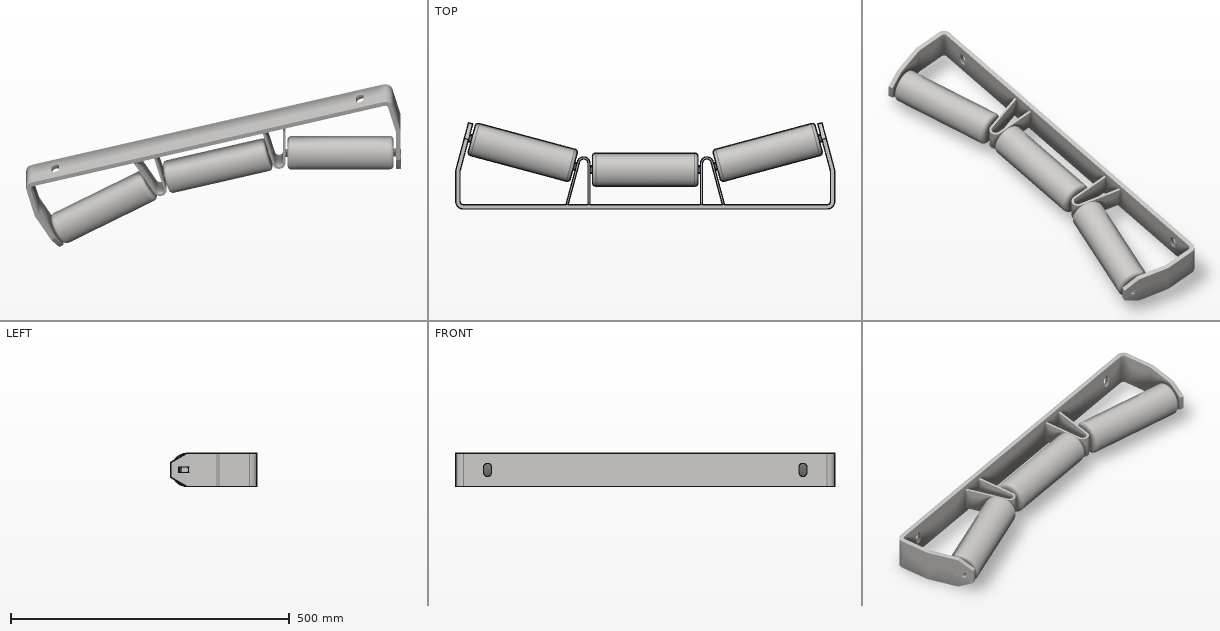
import cadquery as cq
import math

FRAME_LENGTH = 680.0
FRAME_DEPTH = 155.0
STRIP_WIDTH = 60.0
STRIP_THICK = 8.0
BEND_RADIUS = 13.5
ARM_BEND_Y = 68.0
TILT = 15.0
ARM_TIP_WIDTH = 27.0
ARM_TAPER_LENGTH = 29.0

MOUNT_SLOT_X = 283.0
MOUNT_SLOT_WIDTH = 14.0
MOUNT_SLOT_HEIGHT = 24.0

ROLLER_DIA = 60.0
ROLLER_LENGTH = 190.0
ROLLER_FILLET = 6.0
SHAFT_DIA = 14.0
SHAFT_FLATS = 10.0
CENTER_AXIS_Y = 71.0

HOOP_WIDTH = 41.0
HOOP_THICK = 4.0
HOOP_RADIUS = 11.5
HOOP_BEND_Y = 82.0
ROLLER_GAP = 4.0
SIDE_AXIS_DROP = 9.5

SLOT_LENGTH = 19.0

HALF_FRAME = FRAME_LENGTH / 2
COS_TILT = math.cos(math.radians(TILT))
SIN_TILT = math.sin(math.radians(TILT))
ALONG_ARM = cq.Vector(SIN_TILT, COS_TILT)
ACROSS_ARM = cq.Vector(COS_TILT, -SIN_TILT)
ARM_BEND_CENTER = cq.Vector(BEND_RADIUS - HALF_FRAME, ARM_BEND_Y)
ARM_START = ARM_BEND_CENTER - ACROSS_ARM * BEND_RADIUS
ARM_LENGTH = (FRAME_DEPTH - ARM_START.y) / COS_TILT
HOOP_FACE_X = ROLLER_LENGTH / 2 + ROLLER_GAP
HOOP_BEND_CENTER = cq.Vector(-HOOP_FACE_X - HOOP_RADIUS, HOOP_BEND_Y)
HOOP_SIDE_START = HOOP_BEND_CENTER - ACROSS_ARM * HOOP_RADIUS
SIDE_AXIS_ON_HOOP = HOOP_SIDE_START - ALONG_ARM * SIDE_AXIS_DROP
SIDE_ROLLER_CENTER = SIDE_AXIS_ON_HOOP - ACROSS_ARM * HOOP_FACE_X
SIDE_AXIS_ON_ARM = (SIDE_ROLLER_CENTER - ARM_START).dot(ALONG_ARM)
REACH_TO_HOOP = HOOP_FACE_X + HOOP_THICK
REACH_TO_ARM = (SIDE_ROLLER_CENTER - ARM_START).dot(ACROSS_ARM)


def mirrored(body):
    """Copy of a body on the other side of the YZ plane."""
    return body.mirror("YZ")


def roller_at(center, tilt, left_reach, right_reach):
    """Roller and its flattened shaft as one body, axis tilted in the XY plane."""
    barrel = (
        cq.Workplane("YZ", origin=(-ROLLER_LENGTH / 2, 0, 0))
        .circle(ROLLER_DIA / 2)
        .extrude(ROLLER_LENGTH)
        .edges("%CIRCLE")
        .fillet(ROLLER_FILLET)
    )
    shaft_start = cq.Workplane("YZ", origin=(-left_reach, 0, 0))
    shaft_length = left_reach + right_reach
    round_bar = shaft_start.circle(SHAFT_DIA / 2).extrude(shaft_length)
    flat_bar = shaft_start.rect(SHAFT_DIA, SHAFT_FLATS).extrude(shaft_length)
    roller = barrel.union(round_bar.intersect(flat_bar))
    return roller.rotate((0, 0, 0), (0, 0, 1), tilt).translate(center)


def slot_cutter(wall_point, tilt, depth):
    """Rectangular shaft slot through a wall where the shaft axis crosses it.

    The shaft rests on the lower end of the slot, so the slot is centred above the axis.
    """
    slot_offset = (SLOT_LENGTH - SHAFT_DIA) / 2
    cutter = cq.Workplane("XY").box(depth, SLOT_LENGTH, SHAFT_FLATS).translate((0, slot_offset, 0))
    return cutter.rotate((0, 0, 0), (0, 0, 1), tilt).translate(wall_point)


def frame_half():
    """Left half of the frame strip, from the middle of the base to the arm tip."""
    inner_radius = BEND_RADIUS - STRIP_THICK
    corner_center = cq.Vector(BEND_RADIUS - HALF_FRAME, BEND_RADIUS)
    diagonal = cq.Vector(-math.sqrt(0.5), -math.sqrt(0.5))
    half_tilt = math.radians(TILT / 2)
    bend_middle = cq.Vector(-math.cos(half_tilt), math.sin(half_tilt))
    wall_inner_x = STRIP_THICK - HALF_FRAME
    arm_tip = ARM_START + ALONG_ARM * ARM_LENGTH
    inner_start = ARM_START + ACROSS_ARM * STRIP_THICK
    inner_tip = arm_tip + ACROSS_ARM * STRIP_THICK
    strip = (
        cq.Workplane("XY")
        .moveTo(0, 0)
        .lineTo(corner_center.x, 0)
        .threePointArc(
            (corner_center + diagonal * BEND_RADIUS),
            (-HALF_FRAME, corner_center.y),
        )
        .lineTo(-HALF_FRAME, ARM_BEND_Y)
        .threePointArc(
            (ARM_BEND_CENTER + bend_middle * BEND_RADIUS),
            ARM_START,
        )
        .lineTo(arm_tip.x, arm_tip.y)
        .lineTo(inner_tip.x, inner_tip.y)
        .lineTo(inner_start.x, inner_start.y)
        .threePointArc(
            (ARM_BEND_CENTER + bend_middle * inner_radius),
            (wall_inner_x, ARM_BEND_Y),
        )
        .lineTo(wall_inner_x, corner_center.y)
        .threePointArc(
            (corner_center + diagonal * inner_radius),
            (corner_center.x, STRIP_THICK),
        )
        .lineTo(0, STRIP_THICK)
        .close()
        .extrude(STRIP_WIDTH / 2, both=True)
    )
    return strip.cut(arm_tapers()).cut(arm_slot()).cut(mount_slot())


def arm_tapers():
    """Two wedges that narrow the arm towards its tip."""
    arm_plane = cq.Plane(origin=ARM_START, xDir=ALONG_ARM, normal=ACROSS_ARM)
    wedge = (
        cq.Workplane(arm_plane)
        .moveTo(ARM_LENGTH - ARM_TAPER_LENGTH, STRIP_WIDTH / 2)
        .lineTo(ARM_LENGTH, STRIP_WIDTH / 2)
        .lineTo(ARM_LENGTH, ARM_TIP_WIDTH / 2)
        .close()
        .extrude(STRIP_THICK)
    )
    return wedge.union(wedge.mirror("XY"))


def arm_slot():
    """Slot in the arm for the side roller shaft."""
    wall_point = ARM_START + ALONG_ARM * SIDE_AXIS_ON_ARM + ACROSS_ARM * (STRIP_THICK / 2)
    return slot_cutter(wall_point, -TILT, STRIP_THICK * 2)


def mount_slot():
    """Upright round-ended mounting slot through the base."""
    return (
        cq.Workplane("XZ", origin=(-MOUNT_SLOT_X, STRIP_THICK, 0))
        .slot2D(MOUNT_SLOT_HEIGHT, MOUNT_SLOT_WIDTH, 90)
        .extrude(STRIP_THICK)
    )


def left_hoop():
    """Bent strap with one upright leg, and one leg square to the side roller axis."""
    inner_radius = HOOP_RADIUS - HOOP_THICK
    leg_length = (HOOP_SIDE_START.y - STRIP_THICK) / COS_TILT
    outer_foot = HOOP_SIDE_START - ALONG_ARM * leg_length
    inner_start = HOOP_SIDE_START + ACROSS_ARM * HOOP_THICK
    inner_foot_x = outer_foot.x + HOOP_THICK / COS_TILT
    strap = (
        cq.Workplane("XY")
        .moveTo(outer_foot.x, outer_foot.y)
        .lineTo(HOOP_SIDE_START.x, HOOP_SIDE_START.y)
        .threePointArc((HOOP_BEND_CENTER.x, HOOP_BEND_Y + HOOP_RADIUS), (-HOOP_FACE_X, HOOP_BEND_Y))
        .lineTo(-HOOP_FACE_X, STRIP_THICK)
        .lineTo(-HOOP_FACE_X - HOOP_THICK, STRIP_THICK)
        .lineTo(-HOOP_FACE_X - HOOP_THICK, HOOP_BEND_Y)
        .threePointArc((HOOP_BEND_CENTER.x, HOOP_BEND_Y + inner_radius), (inner_start.x, inner_start.y))
        .lineTo(inner_foot_x, STRIP_THICK)
        .close()
        .extrude(HOOP_WIDTH / 2, both=True)
    )
    upright_point = cq.Vector(-HOOP_FACE_X - HOOP_THICK / 2, CENTER_AXIS_Y)
    leaning_point = SIDE_AXIS_ON_HOOP + ACROSS_ARM * (HOOP_THICK / 2)
    strap = strap.cut(slot_cutter(upright_point, 0, HOOP_THICK * 2))
    return strap.cut(slot_cutter(leaning_point, -TILT, HOOP_THICK * 2))


left_half = frame_half()
frame = left_half.union(mirrored(left_half)).clean()

hoop = left_hoop()
hoops = [hoop, mirrored(hoop)]

side_roller = roller_at(SIDE_ROLLER_CENTER, -TILT, REACH_TO_ARM, REACH_TO_HOOP)
center_roller = roller_at(cq.Vector(0, CENTER_AXIS_Y), 0, REACH_TO_HOOP, REACH_TO_HOOP)
rollers = [side_roller, center_roller, mirrored(side_roller)]

result = cq.Compound.makeCompound([body.val() for body in [frame, *hoops, *rollers]])